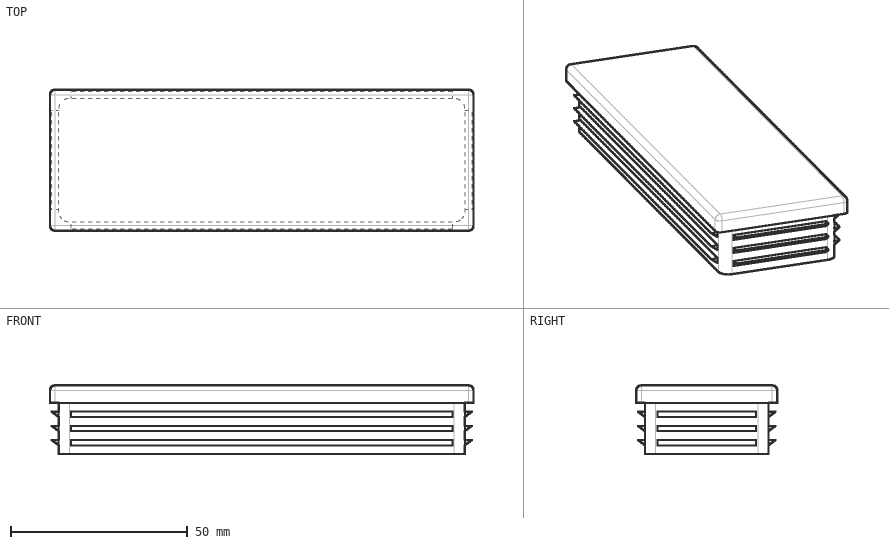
import cadquery as cq

cap_length = 120.0
cap_width = 40.0
total_height = 19.5
cap_thickness = 5.0
cap_edge_radius = 1.5

plug_inset = 2.5
plug_corner_radius = 3.0
plug_length = cap_length - 2 * plug_inset
plug_width = cap_width - 2 * plug_inset
plug_height = total_height - cap_thickness

fin_count = 3
fin_pitch = 4.0
fin_reach = 2.0
fin_height = 1.5
top_fin_drop = 2.5
fin_end_margin = 0.5
long_fin_length = plug_length - 2 * (plug_corner_radius + fin_end_margin)
end_fin_length = plug_width - 2 * (plug_corner_radius + fin_end_margin)


def make_plug():
    """Rounded block standing on the XY plane."""
    block = cq.Workplane("XY").box(plug_length, plug_width, plug_height, centered=(True, True, False))
    return block.edges("|Z").fillet(plug_corner_radius)


def make_cap():
    """Cover plate with rounded vertical corners and a rounded top rim."""
    plate = cq.Workplane("XY").box(cap_length, cap_width, cap_thickness, centered=(True, True, False))
    plate = plate.edges("|Z or >Z").fillet(cap_edge_radius)
    return plate.translate((0, 0, plug_height))


def make_fin_bar(plane, face_span, fin_length, top_z):
    """Trapezoidal bar through the plug whose two ends form a pair of opposite fins."""
    root = face_span / 2
    tip = root + fin_reach
    bottom_z = top_z - fin_height
    outline = [(-tip, top_z), (tip, top_z), (root, bottom_z), (-root, bottom_z)]
    return cq.Workplane(plane).polyline(outline).close().extrude(fin_length / 2, both=True)


result = make_plug().union(make_cap())
for index in range(fin_count):
    fin_top = plug_height - top_fin_drop - index * fin_pitch
    result = result.union(make_fin_bar("YZ", plug_width, long_fin_length, fin_top))
    result = result.union(make_fin_bar("XZ", plug_length, end_fin_length, fin_top))